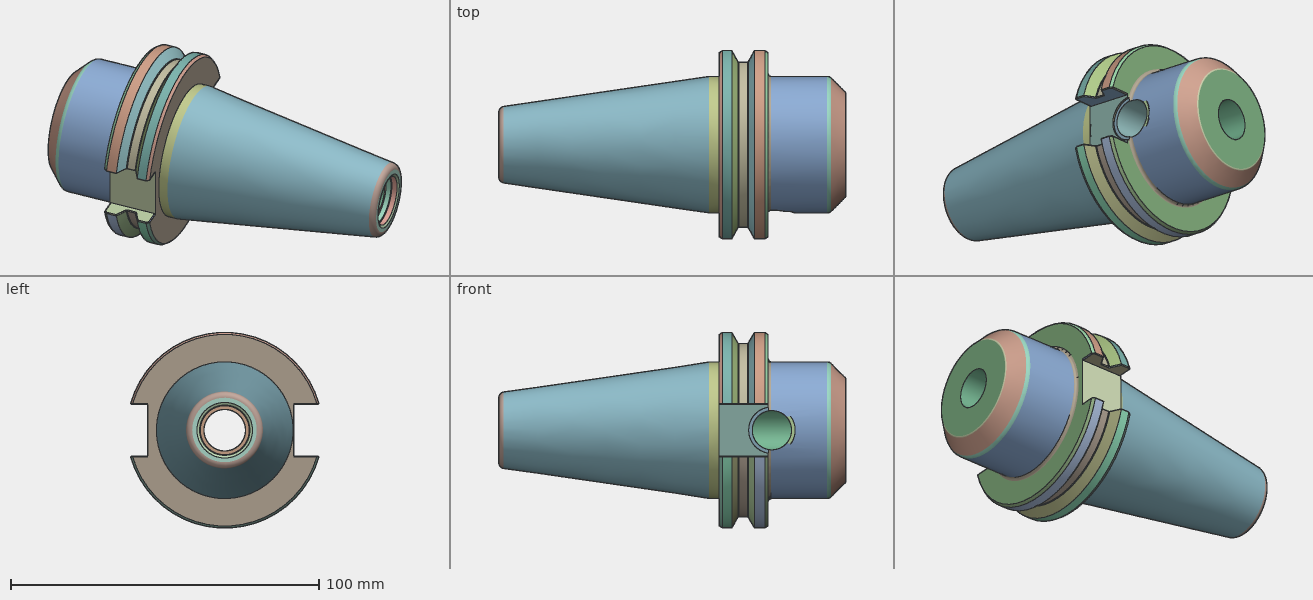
import cadquery as cq
import math

total_length = 112.7
body_diameter = 44.4
taper_length = 68.4
taper_ratio = 7 / 24
shank_edge_radius = 2.0
body_radius = body_diameter / 2
small_end_radius = body_radius - taper_length * taper_ratio / 2

flange_start = 71.6
flange_width = 15.9
flange_radius = 31.8
flange_edge_width = 1.0
flange_edge_height = 0.7
flange_end = flange_start + flange_width
groove_radius = 28.2
groove_floor_width = 3.2
groove_floor_fillet = 0.3
groove_wall_angle = 30.0
groove_centre = 79.3
groove_depth = flange_radius - groove_radius
groove_mouth_width = groove_floor_width + 2 * groove_depth * math.tan(math.radians(groove_wall_angle))
flange_root_radius = 1.0

nose_chamfer = 5.3
nose_shoulder_radius = 1.8
nose_face_radius = 0.7

entry_diameter = 18.0
entry_cone_length = 0.5
pilot_diameter = 16.3
pilot_depth = 2.3
pilot_cone_length = 0.2
thread_diameter = 15.9
thread_depth = 4.2
through_diameter = 13.4

slot_width = 16.7
slot_edge_chamfer = 0.3
front_slot_floor = 22.4
back_slot_floor = 25.0
screw_x = 88.7
screw_diameter = 12.7
screw_recess_diameter = 15.1
screw_recess_floor = 21.8

selection_margin = 0.1


def make_shank():
    profile = (
        cq.Workplane("XY")
        .lineTo(0, small_end_radius)
        .lineTo(taper_length, body_radius)
        .lineTo(total_length - nose_chamfer, body_radius)
        .lineTo(total_length, body_radius - nose_chamfer)
        .lineTo(total_length, 0)
        .close()
    )
    shank = profile.revolve(360, (0, 0, 0), (1, 0, 0))
    shank = shank.faces("<X").edges().fillet(shank_edge_radius)
    shank = shank.faces(">X").edges().fillet(nose_face_radius)
    shoulder = cq.selectors.BoxSelector(
        (total_length - nose_chamfer - selection_margin, -flange_radius, -flange_radius),
        (total_length - nose_chamfer + selection_margin, flange_radius, flange_radius),
        boundingbox=True,
    )
    return shank.edges(shoulder).fillet(nose_shoulder_radius)


def make_flange():
    flange = (
        cq.Workplane("XY")
        .moveTo(flange_start, 0)
        .lineTo(flange_start, flange_radius - flange_edge_height)
        .lineTo(flange_start + flange_edge_width, flange_radius)
        .lineTo(groove_centre - groove_mouth_width / 2, flange_radius)
        .lineTo(groove_centre - groove_floor_width / 2, groove_radius)
        .lineTo(groove_centre + groove_floor_width / 2, groove_radius)
        .lineTo(groove_centre + groove_mouth_width / 2, flange_radius)
        .lineTo(flange_end - flange_edge_width, flange_radius)
        .lineTo(flange_end, flange_radius - flange_edge_height)
        .lineTo(flange_end, 0)
        .close()
        .revolve(360, (0, 0, 0), (1, 0, 0))
    )
    groove_reach = groove_radius + selection_margin
    groove_floor = cq.selectors.BoxSelector(
        (groove_centre - groove_floor_width, -groove_reach, -groove_reach),
        (groove_centre + groove_floor_width, groove_reach, groove_reach),
        boundingbox=True,
    )
    flange = flange.edges(groove_floor).edges("%CIRCLE").fillet(groove_floor_fillet)
    flange = flange.cut(make_slot(-1, front_slot_floor)).cut(make_slot(1, back_slot_floor))
    for side, floor in ((-1, front_slot_floor), (1, back_slot_floor)):
        walls = cq.selectors.BoxSelector(
            (flange_start, side * floor, -slot_width / 2 - selection_margin),
            (flange_end, side * flange_radius, slot_width / 2 + selection_margin),
        )
        floor_edges = cq.selectors.BoxSelector(
            (flange_start - selection_margin, side * floor - selection_margin, -slot_width),
            (flange_end + selection_margin, side * floor + selection_margin, slot_width),
        )
        rim = flange.faces("|Z").faces(walls).edges().edges(-floor_edges)
        flange = rim.chamfer(slot_edge_chamfer)
    return flange


def make_flange_root():
    """Concave ring where the nose meets the flange."""
    outer = body_radius + flange_root_radius
    outer_end = flange_end + flange_root_radius
    arc_offset = flange_root_radius * (1 - math.sqrt(0.5))
    return (
        cq.Workplane("XY")
        .moveTo(flange_end, 0)
        .lineTo(flange_end, outer)
        .threePointArc((flange_end + arc_offset, body_radius + arc_offset), (outer_end, body_radius))
        .lineTo(outer_end, 0)
        .close()
        .revolve(360, (0, 0, 0), (1, 0, 0))
    )


def make_bore():
    return (
        cq.Workplane("XY")
        .lineTo(0, entry_diameter / 2)
        .lineTo(entry_cone_length, pilot_diameter / 2)
        .lineTo(pilot_depth, pilot_diameter / 2)
        .lineTo(pilot_depth + pilot_cone_length, thread_diameter / 2)
        .lineTo(thread_depth, thread_diameter / 2)
        .lineTo(thread_depth, through_diameter / 2)
        .lineTo(total_length, through_diameter / 2)
        .lineTo(total_length, 0)
        .close()
        .revolve(360, (0, 0, 0), (1, 0, 0))
    )


def make_slot(side, floor):
    """Drive slot across the flange; side is -1 for -Y and +1 for +Y."""
    depth = flange_radius - floor
    slot = cq.Workplane("XY").box(flange_width, depth, slot_width)
    return slot.translate((flange_start + flange_width / 2, side * (floor + depth / 2), 0))


def cylinder_toward_front(diameter, start):
    """Cylinder on the screw axis, running from a distance start out past the flange."""
    return (
        cq.Workplane("XZ", origin=(screw_x, -start, 0))
        .circle(diameter / 2)
        .extrude(flange_radius - start)
    )


result = make_shank().union(make_flange()).union(make_flange_root())
result = result.cut(make_bore())
result = result.cut(cylinder_toward_front(screw_recess_diameter, screw_recess_floor))
result = result.cut(cylinder_toward_front(screw_diameter, 0))